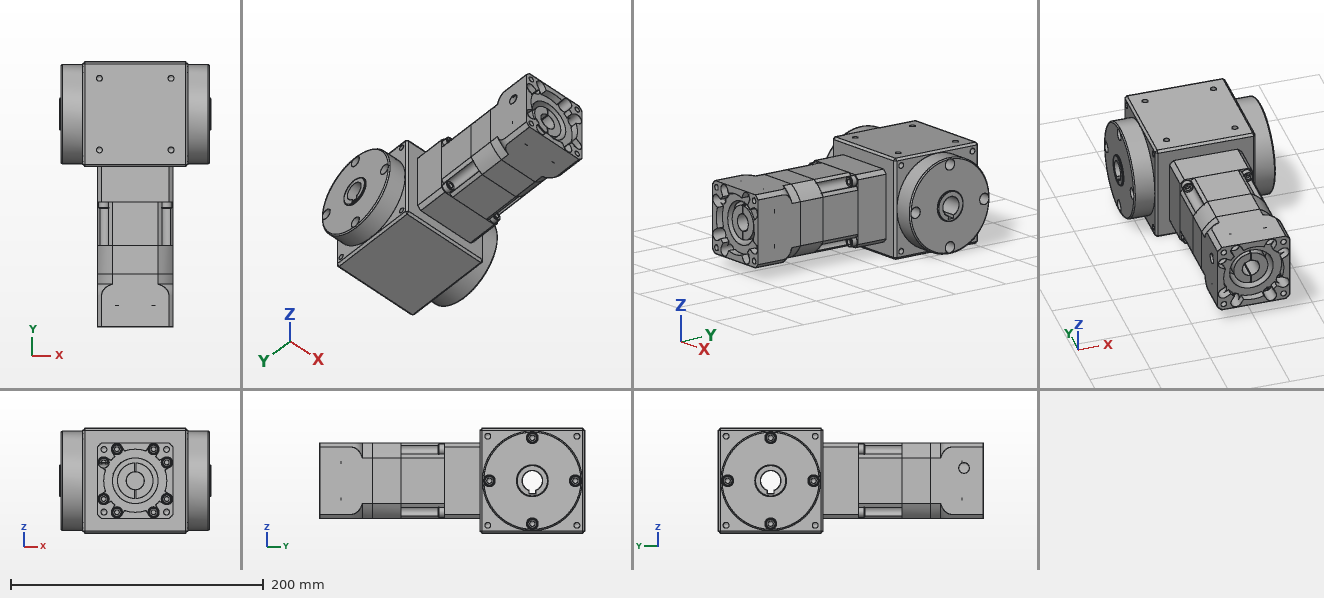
import cadquery as cq
import math


ORIGIN = cq.Vector(0, 0, 0)
LEFT, RIGHT = cq.Vector(-1, 0, 0), cq.Vector(1, 0, 0)
UP = cq.Vector(0, 0, 1)
BACK, FRONT = cq.Vector(0, 1, 0), cq.Vector(0, -1, 0)
DIAGONALS = [(1, 1), (1, -1), (-1, 1), (-1, -1)]

overall_length = 209.7

cube_size = 83.0
cube_half = cube_size / 2
cube_chamfer = 1.9
disc_radius = 39.5
disc_end = 58.7
disc_chamfer = 1.0
shaft_radius = 12.5
shaft_end = 60.0
shaft_chamfer = 0.6
shaft_bore_radius = 8.0
keyway_width = 5.0
keyway_reach = 10.3
disc_screw_count = 4
disc_screw_circle_radius = 34.0
disc_screw_pocket_radius = 4.6
disc_screw_head_radius = 4.0
disc_screw_socket_radius = 2.0
disc_screw_socket_depth = 2.0
tapped_radius = 2.3
tapped_depth = 8.4
top_hole_offset = 28.3
side_hole_offset = 35.2

flange_end = -69.5
ring_gear_end = -103.8
spacer_end = -126.2
adapter_step = -134.5
adapter_end = cube_half - overall_length
square_size = 60.0
round_radius = 35.0
corner_radius = 40.0
step_arc_radius = 10.0

flange_screw_offset = 24.7
flange_screw_head_radius = 4.2
flange_screw_head_height = 5.0
flange_screw_socket_radius = 2.0
flange_screw_socket_depth = 2.5
channel_radius = 4.8

recess_radius = 25.0
recess_depth = 6.0
hub_groove_radius = 18.0
hub_groove_depth = 25.2
hub_radius = 14.0
hub_setback = 7.5
hub_bore_radius = 7.1
hub_bore_depth = 31.5
slit_width = 0.8
pocket_radius = 4.5
pocket_depth = 16.8
pocket_near = 14.5
pocket_far = 25.0
pocket_head_radius = 3.8
pocket_socket_radius = 1.9
pocket_socket_depth = 2.0
mount_hole_offset = 24.7
clamp_hole_y = -152.9
clamp_hole_z = 10.0
clamp_hole_radius = 4.2

head_chamfer = 0.6
pocket_head_height = 4.2
drill_tip_ratio = 0.6


def cylinder(radius, length, start, direction):
    """Round bar from its start point along a direction."""
    return cq.Workplane(obj=cq.Solid.makeCylinder(radius, length, start, direction))


def blind_hole(radius, depth, start, direction):
    """Drilled hole with a conical bottom."""
    tip = cq.Solid.makeCone(radius, 0, radius * drill_tip_ratio, start + direction * depth, direction)
    return cylinder(radius, depth, start, direction).union(cq.Workplane(obj=tip))


def screw_head(radius, height, seat, direction):
    """Cylindrical screw head that rises from its seat, chamfered at the free end."""
    straight = height - head_chamfer
    rim = cq.Solid.makeCone(
        radius, radius - head_chamfer, head_chamfer, seat + direction * straight, direction
    )
    return cylinder(radius, straight, seat, direction).union(cq.Workplane(obj=rim))


def prism(start, end, turned_radius):
    """Square bar from start to end along Y, its corners turned to the given radius."""
    bar = cq.Workplane("XZ", origin=(0, start, 0)).rect(square_size, square_size).extrude(start - end)
    return bar.intersect(cylinder(turned_radius, start - end, cq.Vector(0, start, 0), FRONT))


def output_side(side):
    """One output disc with the end of the hollow shaft."""
    disc = cylinder(disc_radius, disc_end, ORIGIN, side).edges().chamfer(disc_chamfer)
    shaft = cylinder(shaft_radius, shaft_end, ORIGIN, side).edges().chamfer(shaft_chamfer)
    return disc.union(shaft)


def add_disc_screws(body, side):
    """Sink the four screws into an output disc."""
    inward = side * -1
    pocket_length = disc_end - cube_half
    for index in range(disc_screw_count):
        angle = 2 * math.pi * index / disc_screw_count
        place = cq.Vector(
            0, disc_screw_circle_radius * math.cos(angle), disc_screw_circle_radius * math.sin(angle)
        )
        seat = place + side * cube_half
        head_top = seat + side * pocket_head_height
        body = (
            body.cut(cylinder(disc_screw_pocket_radius, pocket_length, seat, side))
            .union(screw_head(disc_screw_head_radius, pocket_head_height, seat, side))
            .cut(blind_hole(disc_screw_socket_radius, disc_screw_socket_depth, head_top, inward))
        )
    return body


def make_housing():
    """Chamfered cube with an output disc on each side and a keyed bore right through."""
    body = cq.Workplane().box(cube_size, cube_size, cube_size).edges().chamfer(cube_chamfer)
    for side in (LEFT, RIGHT):
        body = add_disc_screws(body.union(output_side(side)), side)
        for y_sign, z_sign in DIAGONALS:
            place = side * cube_half + cq.Vector(0, y_sign * side_hole_offset, z_sign * side_hole_offset)
            body = body.cut(blind_hole(tapped_radius, tapped_depth, place, side * -1))
    for x_sign, y_sign in DIAGONALS:
        place = cq.Vector(x_sign * top_hole_offset, y_sign * top_hole_offset, cube_half)
        body = body.cut(blind_hole(tapped_radius, tapped_depth, place, UP * -1))
    bore = cylinder(shaft_bore_radius, 2 * shaft_end, LEFT * shaft_end, RIGHT)
    keyway = cq.Workplane().box(2 * shaft_end, keyway_width, keyway_reach)
    keyway = keyway.translate((0, 0, -keyway_reach / 2))
    return body.cut(bore).cut(keyway)


def flange_screw_places():
    """Seats of the four screws on the -Y face of the flange."""
    return [
        cq.Vector(x_sign * flange_screw_offset, flange_end, z_sign * flange_screw_offset)
        for x_sign, z_sign in DIAGONALS
    ]


def make_flange():
    """Square flange against the cube, carrying the heads of its four screws."""
    body = prism(-cube_half, flange_end, corner_radius)
    for seat in flange_screw_places():
        head_top = seat + FRONT * flange_screw_head_height
        body = body.union(
            screw_head(flange_screw_head_radius, flange_screw_head_height, seat, FRONT)
        ).cut(cylinder(flange_screw_socket_radius, flange_screw_socket_depth, head_top, BACK))
    return body


def make_ring_gear():
    """Bar with a screwdriver channel along each corner."""
    body = prism(flange_end, ring_gear_end, round_radius)
    for seat in flange_screw_places():
        body = body.cut(cylinder(channel_radius, flange_end - ring_gear_end, seat, FRONT))
    return body


def make_spacer():
    """Plain bar between the ring gear and the motor adapter."""
    return prism(ring_gear_end, spacer_end, round_radius)


def adapter_blank():
    """Square bar whose turned corners swell from the round to the corner radius."""
    rise = corner_radius - round_radius
    sweep = math.acos(1 - rise / step_arc_radius)
    arc_centre = corner_radius - step_arc_radius
    arc_end = adapter_step - step_arc_radius * math.sin(sweep)
    arc_middle = (
        arc_centre + step_arc_radius * math.cos(sweep / 2),
        arc_end + step_arc_radius * math.sin(sweep / 2),
    )
    turned = (
        cq.Workplane("XY")
        .moveTo(0, spacer_end)
        .lineTo(round_radius, spacer_end)
        .lineTo(round_radius, adapter_step)
        .threePointArc(arc_middle, (corner_radius, arc_end))
        .lineTo(corner_radius, adapter_end)
        .lineTo(0, adapter_end)
        .close()
        .revolve(360, (0, 0), (0, 1))
    )
    length = spacer_end - adapter_end
    bar = cq.Workplane("XZ", origin=(0, spacer_end, 0)).rect(square_size, square_size).extrude(length)
    return turned.intersect(bar)


def clamping_hub():
    """Slitted hub left standing inside the groove."""
    floor = adapter_end + hub_groove_depth
    length = hub_groove_depth - hub_setback
    hub = cylinder(hub_radius, length, cq.Vector(0, floor, 0), FRONT)
    slit = cq.Workplane().box(slit_width, length, 2 * hub_radius).translate((0, floor - length / 2, 0))
    return hub.cut(slit)


def add_pocket_screws(body):
    """Sink eight screws around the recess, each pocket opened radially into the recess."""
    face = cq.Vector(0, adapter_end, 0)
    for x_sign, z_sign in DIAGONALS:
        for x, z in ((pocket_near, pocket_far), (pocket_far, pocket_near)):
            place = face + cq.Vector(x_sign * x, 0, z_sign * z)
            distance = math.hypot(x, z)
            turn = -math.degrees(math.atan2(z_sign * z, x_sign * x))
            opening = (
                cq.Workplane()
                .box(distance - hub_groove_radius, recess_depth, 2 * pocket_radius)
                .translate(((distance + hub_groove_radius) / 2, adapter_end + recess_depth / 2, 0))
                .rotate((0, 0, 0), (0, 1, 0), turn)
            )
            seat = place + BACK * pocket_depth
            head_top = seat + FRONT * pocket_head_height
            body = (
                body.cut(opening)
                .cut(cylinder(pocket_radius, pocket_depth, place, BACK))
                .union(screw_head(pocket_head_radius, pocket_head_height, seat, FRONT))
                .cut(cylinder(pocket_socket_radius, pocket_socket_depth, head_top, BACK))
            )
    return body


def make_motor_adapter():
    """Motor end with its recess, clamping hub, sunken screws and mounting holes."""
    face = cq.Vector(0, adapter_end, 0)
    body = (
        adapter_blank()
        .cut(cylinder(recess_radius, recess_depth, face, BACK))
        .cut(cylinder(hub_groove_radius, hub_groove_depth, face, BACK))
    )
    body = add_pocket_screws(body)
    access = cq.Vector(-square_size / 2, clamp_hole_y, clamp_hole_z)
    body = body.cut(cylinder(clamp_hole_radius, square_size / 2, access, RIGHT))
    body = body.union(clamping_hub()).cut(cylinder(hub_bore_radius, hub_bore_depth, face, BACK))
    for x_sign, z_sign in DIAGONALS:
        place = face + cq.Vector(x_sign * mount_hole_offset, 0, z_sign * mount_hole_offset)
        body = body.cut(blind_hole(tapped_radius, tapped_depth, place, BACK))
    return body


housing = make_housing()
flange = make_flange()
ring_gear = make_ring_gear()
spacer = make_spacer()
motor_adapter = make_motor_adapter()

result = cq.Compound.makeCompound(
    [housing.val(), flange.val(), ring_gear.val(), spacer.val(), motor_adapter.val()]
)